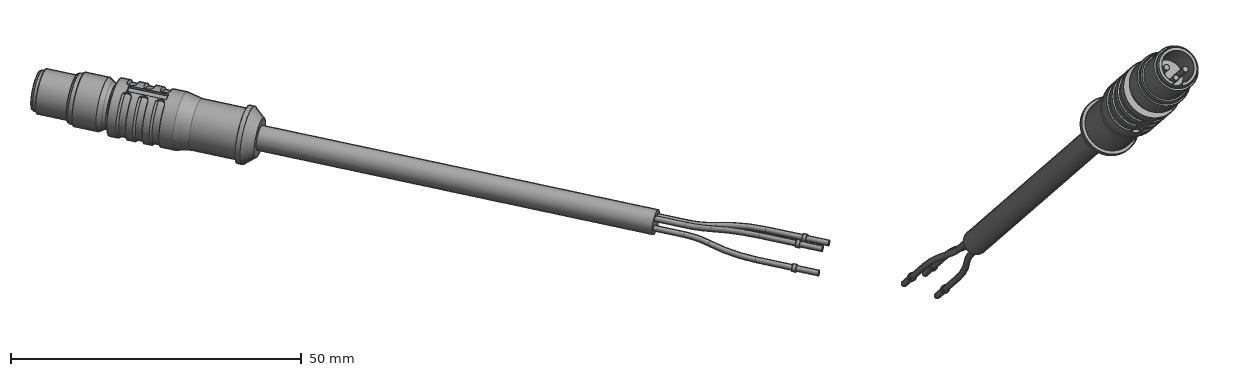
import cadquery as cq
import math

total_length = 141.4

nose_face_dia = 6.9
nose_dia = 7.3
nose_bevel_length = 0.4
nose_end = 1.0
sleeve_dia = 8.0
sleeve_end = 6.6

collar_face_dia = 8.6
collar_dia = 9.0
collar_bevel_end = 7.0
nut_dia = 9.6
nut_start = 7.8
nut_bevel_start = 12.1
nut_bevel_end = 13.0
nut_bevel_end_dia = 8.5
nut_end = 13.6
nut_end_dia = 8.0
neck_dia = 5.8

cup_dia = 5.8
cup_depth = 6.0
keyway_width = 1.7
keyway_reach = 3.4
pin_dia = 1.0
pin_circle_radius = 1.7
pin_tip = 1.0
pin_embed = 1.0
pin_angles = (0, 180, 270)

grip_dia = 10.3
grip_start = 14.2
grip_end = 26.0
groove_floor_dia = 9.6
groove_start = 15.8
groove_ramp = 0.4
groove_width = 1.7
groove_pitch = 3.0
groove_count = 3
groove_gap_half_width = 0.9
groove_end_radius = 0.8
pocket_start = 16.4
pocket_width = 1.4
pocket_floor = 4.6

body_dia = 9.1
body_start = 28.8
flange_start = 37.2
flange_bevel_start = 38.1
flange_end = 40.1
flange_end_dia = 6.9
cable_dia = 4.4
cable_end = 111.2

wire_dia = 1.0
wire_angles = (15, 105, 195)
wire_bundle_radius = 1.2
wire_fan_radius = 3.1
wire_embed = 2.0
fan_start = 116.7
fan_middle = 121.4
fan_end = 130.1
ferrule_dia = 1.4
ferrule_start = 136.7
ferrule_end = 137.4


def cylinder(dia, start, end, y=0.0, z=0.0):
    """Cylinder along X between two x positions."""
    return cq.Workplane("YZ", origin=(start, y, z)).circle(dia / 2).extrude(end - start)


def revolve_about_x(stations):
    """Solid of revolution about X from (x, diameter) stations, closed along the axis."""
    outline = [(x, dia / 2) for x, dia in stations]
    profile = [(stations[0][0], 0), *outline, (stations[-1][0], 0)]
    return cq.Workplane("XY").polyline(profile).close().revolve(360, (0, 0, 0), (1, 0, 0))


def make_turned_body():
    return revolve_about_x(
        [
            (0, nose_face_dia),
            (nose_bevel_length, nose_dia),
            (nose_end, nose_dia),
            (nose_end, sleeve_dia),
            (sleeve_end, sleeve_dia),
            (sleeve_end, collar_face_dia),
            (collar_bevel_end, collar_dia),
            (nut_start, collar_dia),
            (nut_start, nut_dia),
            (nut_bevel_start, nut_dia),
            (nut_bevel_end, nut_bevel_end_dia),
            (nut_end, nut_end_dia),
            (nut_end, neck_dia),
            (grip_start, neck_dia),
            (grip_start, grip_dia),
            (grip_end, grip_dia),
            (body_start, body_dia),
            (flange_start, body_dia),
            (flange_start, grip_dia),
            (flange_bevel_start, grip_dia),
            (flange_end, flange_end_dia),
            (flange_end, cable_dia),
            (cable_end, cable_dia),
        ]
    )


def make_groove(start):
    """Ring cutter with a ramped front wall, interrupted by rounded ends above and below."""
    end = start + groove_width
    profile = [
        (start, grip_dia / 2),
        (start + groove_ramp, groove_floor_dia / 2),
        (end, groove_floor_dia / 2),
        (end, grip_dia / 2),
    ]
    ring = cq.Workplane("XY").polyline(profile).close().revolve(360, (0, 0, 0), (1, 0, 0))
    side = cq.Workplane("XY").box(
        groove_width, grip_dia, 2 * grip_dia, centered=(False, False, True)
    )
    side = side.edges("|Z and <Y").fillet(groove_end_radius)
    side = side.translate((start, groove_gap_half_width, 0))
    both_sides = side.union(side.mirror("XZ"))
    return ring.intersect(both_sides)


def cut_grip(body):
    for index in range(groove_count):
        body = body.cut(make_groove(groove_start + index * groove_pitch))
    pocket_end = groove_start + (groove_count - 1) * groove_pitch + groove_width
    pocket = cq.Workplane("XY").box(
        pocket_end - pocket_start, pocket_width, grip_dia, centered=(False, True, False)
    )
    pocket = pocket.translate((pocket_start, 0, pocket_floor))
    return body.cut(pocket).cut(pocket.mirror("XY"))


def add_contacts(body):
    keyway = cq.Workplane("XY").box(
        cup_depth, keyway_width, keyway_reach, centered=(False, True, False)
    )
    body = body.cut(cylinder(cup_dia, 0, cup_depth)).cut(keyway.translate((0, 0, -keyway_reach)))
    for angle in pin_angles:
        turn = math.radians(angle)
        y = pin_circle_radius * math.cos(turn)
        z = pin_circle_radius * math.sin(turn)
        body = body.union(cylinder(pin_dia, pin_tip, cup_depth + pin_embed, y, z))
    return body


def make_wire(angle):
    """Wire bent by two tangent arcs in the XY plane, then turned about X into place."""
    root = cable_end - wire_embed
    rise = wire_fan_radius - wire_bundle_radius
    middle_radius = wire_bundle_radius + rise * (fan_middle - fan_start) / (fan_end - fan_start)
    path = (
        cq.Workplane("XY")
        .moveTo(root, wire_bundle_radius)
        .lineTo(fan_start, wire_bundle_radius)
        .tangentArcPoint((fan_middle, middle_radius), relative=False)
        .tangentArcPoint((fan_end, wire_fan_radius), relative=False)
        .lineTo(total_length, wire_fan_radius)
    )
    section = cq.Workplane("YZ", origin=(root, wire_bundle_radius, 0)).circle(wire_dia / 2)
    wire = section.sweep(path)
    wire = wire.union(cylinder(ferrule_dia, ferrule_start, ferrule_end, wire_fan_radius))
    return wire.rotate((0, 0, 0), (1, 0, 0), angle)


result = add_contacts(cut_grip(make_turned_body()))
for wire_angle in wire_angles:
    result = result.union(make_wire(wire_angle))